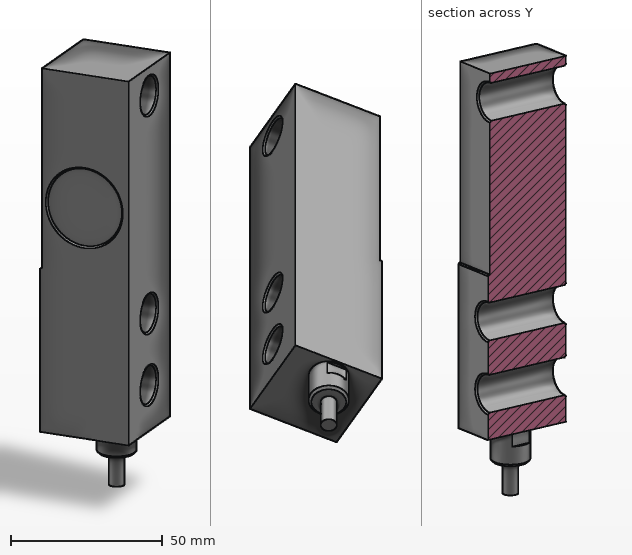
import cadquery as cq

total_height = 150.8
body_width = 32.3
body_depth = 32.3
body_height = 127.0

step_depth = 0.8
step_height = 57.3
step_chamfer = 0.5

hole_diameter = 13.0
hole_chamfer = 0.6
lowest_hole_height = 16.0
lower_hole_pitch = 25.0
upper_hole_pitch = 76.0

recess_diameter = 28.0
recess_depth = 0.6
recess_wall_angle = 45.0
recess_height = 80.5

gland_diameter = 13.3
gland_length = 12.7
gland_chamfer = 0.9
gland_offset_y = 9.0
flat_spacing = 11.3
flat_height = 5.0
flat_gap = 0.6
cable_diameter = 5.3
cable_length = total_height - body_height - gland_length

left_face = -body_width / 2
right_face = body_width / 2
front_face = -body_depth / 2


def make_body():
    """Rectangular bar with its stepped side profile extruded along Y."""
    upper_left_face = left_face + step_depth
    return (
        cq.Workplane("XZ")
        .moveTo(left_face, 0)
        .lineTo(right_face, 0)
        .lineTo(right_face, body_height)
        .lineTo(upper_left_face, body_height)
        .lineTo(upper_left_face, step_height)
        .lineTo(left_face + step_chamfer, step_height)
        .lineTo(left_face, step_height - step_chamfer)
        .close()
        .extrude(body_depth / 2, both=True)
    )


def make_hole(height, entry_face):
    """Cutter for a through hole, chamfered at its entry face and at the +X face."""
    radius = hole_diameter / 2
    mouth_radius = radius + hole_chamfer
    return (
        cq.Workplane("XY")
        .moveTo(entry_face, 0)
        .lineTo(entry_face, mouth_radius)
        .lineTo(entry_face + hole_chamfer, radius)
        .lineTo(right_face - hole_chamfer, radius)
        .lineTo(right_face, mouth_radius)
        .lineTo(right_face, 0)
        .close()
        .revolve(360, (0, 0, 0), (1, 0, 0))
        .translate((0, 0, height))
    )


def make_recess():
    """Cutter for the shallow recess with a sloping wall in the -Y face."""
    return (
        cq.Workplane("XZ", origin=(0, front_face, recess_height))
        .circle(recess_diameter / 2)
        .extrude(-recess_depth, taper=recess_wall_angle)
    )


def make_gland():
    """Round gland with a chamfered lower rim and two flats facing -Y and +Y."""
    gland = (
        cq.Workplane("XY")
        .circle(gland_diameter / 2)
        .extrude(-gland_length)
        .faces("<Z")
        .chamfer(gland_chamfer)
    )
    for side in (-1, 1):
        flat_cutter = cq.Workplane("XY").box(
            gland_diameter, gland_diameter, flat_height, centered=(True, True, False)
        )
        cutter_y = side * (flat_spacing + gland_diameter) / 2
        gland = gland.cut(flat_cutter.translate((0, cutter_y, -flat_gap - flat_height)))
    return gland.translate((0, gland_offset_y, 0))


def make_cable():
    """Straight stub of cable leaving the underside of the gland."""
    return (
        cq.Workplane("XY", origin=(0, gland_offset_y, -gland_length))
        .circle(cable_diameter / 2)
        .extrude(-cable_length)
    )


middle_hole_height = lowest_hole_height + lower_hole_pitch
top_hole_height = middle_hole_height + upper_hole_pitch

result = make_body()
for lower_hole_height in (lowest_hole_height, middle_hole_height):
    result = result.cut(make_hole(lower_hole_height, left_face))
result = result.cut(make_hole(top_hole_height, left_face + step_depth))
result = result.cut(make_recess())
result = result.union(make_gland()).union(make_cable())